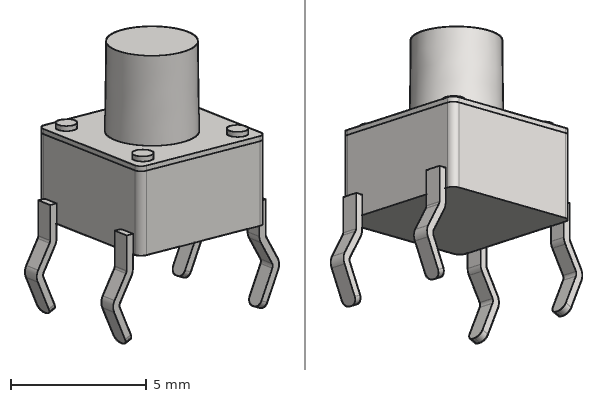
import cadquery as cq
import math

body_side = 6.0
body_height = 3.5
corner_radius = 0.3
cover_thickness = 0.2
base_height = body_height - cover_thickness

button_bottom_diameter = 3.5
button_top_diameter = 3.4
button_height = 3.5

rivet_diameter = 0.8
rivet_height = 0.2

corner_offset = 2.25

leg_width = 0.7
leg_thickness = 0.3
leg_top = 0.8
leg_reach = 3.94
overall_height = 10.5
leg_bottom = body_height + button_height - overall_height
shoulder_z = -0.58
inside_bend_radius = 0.2
outside_bend_radius = inside_bend_radius + leg_thickness
splay_angle = math.radians(30)
return_angle = math.radians(24)
tip_radius = 0.3


def rounded_block(height, bottom):
    """Square block with rounded vertical corners."""
    block = cq.Workplane("XY", origin=(0, 0, bottom)).rect(body_side, body_side).extrude(height)
    return block.edges("|Z").fillet(corner_radius)


def make_base():
    return rounded_block(base_height, 0)


def make_cover():
    """Cover plate in one piece with the button and the four rivet heads."""
    plate = rounded_block(cover_thickness, base_height)
    button = (
        cq.Workplane("XY", origin=(0, 0, body_height))
        .circle(button_bottom_diameter / 2)
        .workplane(offset=button_height)
        .circle(button_top_diameter / 2)
        .loft()
    )
    rivets = (
        cq.Workplane("XY", origin=(0, 0, body_height))
        .rect(2 * corner_offset, 2 * corner_offset, forConstruction=True)
        .vertices()
        .circle(rivet_diameter / 2)
        .extrude(rivet_height)
    )
    return plate.union(button).union(rivets)


def polar(centre, radius, angle):
    """Point at a radius and angle from a centre, in the (Y, Z) plane of the leg."""
    return (centre[0] + radius * math.cos(angle), centre[1] + radius * math.sin(angle))


def make_leg(x_centre):
    """Leg on the +Y face: straight, splayed outwards, then bent back inwards to the tip."""
    inner_y = body_side / 2
    outer_y = inner_y + leg_thickness

    shoulder = (outer_y + inside_bend_radius, shoulder_z)
    knee_y = leg_reach - outside_bend_radius
    centre_gap = inside_bend_radius + outside_bend_radius
    knee_drop = (centre_gap - (shoulder[0] - knee_y) * math.cos(splay_angle)) / math.sin(splay_angle)
    knee = (knee_y, shoulder_z - knee_drop)

    knee_end = polar(knee, outside_bend_radius, -return_angle)
    tip_length = (knee_end[1] - leg_bottom) / math.cos(return_angle)
    tip_outer = (knee_end[0] - tip_length * math.sin(return_angle), leg_bottom)
    tip_inner = polar(tip_outer, -leg_thickness, -return_angle)

    shoulder_middle = math.pi + splay_angle / 2
    shoulder_end = math.pi + splay_angle
    leg = (
        cq.Workplane("YZ", origin=(x_centre - leg_width / 2, 0, 0))
        .moveTo(inner_y, leg_top)
        .lineTo(outer_y, leg_top)
        .lineTo(outer_y, shoulder_z)
        .threePointArc(
            polar(shoulder, inside_bend_radius, shoulder_middle),
            polar(shoulder, inside_bend_radius, shoulder_end),
        )
        .lineTo(*polar(knee, outside_bend_radius, splay_angle))
        .threePointArc(polar(knee, outside_bend_radius, 0), knee_end)
        .lineTo(*tip_outer)
        .lineTo(*tip_inner)
        .lineTo(*polar(knee, inside_bend_radius, -return_angle))
        .threePointArc(
            polar(knee, inside_bend_radius, 0),
            polar(knee, inside_bend_radius, splay_angle),
        )
        .lineTo(*polar(shoulder, outside_bend_radius, shoulder_end))
        .threePointArc(
            polar(shoulder, outside_bend_radius, shoulder_middle),
            (inner_y, shoulder_z),
        )
        .close()
        .extrude(leg_width)
    )
    tip_direction = cq.Vector(0, math.cos(return_angle), -math.sin(return_angle))
    return leg.edges(cq.selectors.ParallelDirSelector(tip_direction)).fillet(tip_radius)


base = make_base()
cover = make_cover()

legs = []
for x_centre in (-corner_offset, corner_offset):
    back_leg = make_leg(x_centre)
    legs.append(back_leg.solids().val())
    legs.append(back_leg.mirror("XZ").solids().val())

result = cq.Compound.makeCompound([base.solids().val(), cover.solids().val(), *legs])